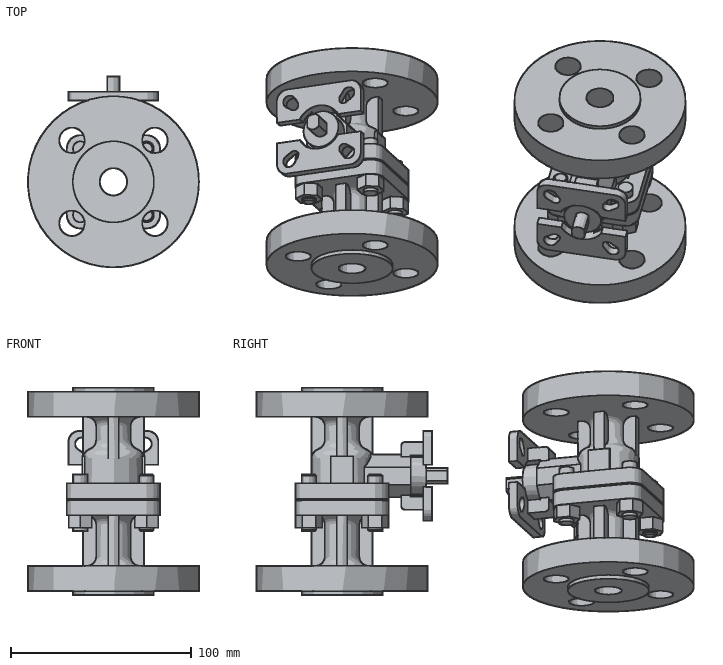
import cadquery as cq
import math


face_to_face = 115.0
bore_diameter = 15.0
flange_diameter = 95.0
flange_thickness = 14.0
raised_face_diameter = 45.0
raised_face_height = 2.2
flange_hole_diameter = 14.0
flange_hole_circle = 65.0
flange_hole_count = 4
bolt_angle = 45.0
lower_flange_top = raised_face_height + flange_thickness
upper_flange_bottom = face_to_face - lower_flange_top

joint_plate_side = 51.8
joint_bolt_circle = 52.0
joint_bolt_offset = joint_bolt_circle / 2 * math.sin(math.radians(bolt_angle))
joint_plate_corner_radius = joint_plate_side / 2 - joint_bolt_offset
lower_plate_bottom = 44.2
lower_plate_thickness = 8.3
joint_gap = 0.9
upper_plate_thickness = 8.7
lower_plate_top = lower_plate_bottom + lower_plate_thickness
upper_plate_bottom = lower_plate_top + joint_gap
upper_plate_top = upper_plate_bottom + upper_plate_thickness

bolt_diameter = 8.1
bolt_bottom = 35.4
bolt_top = 66.9
bolt_chamfer = 0.85
nut_across_flats = 13.0
nut_sides = 6
nut_height = 7.0

neck_radius = 10.1
neck_flare_radius = 5.0
body_radius = 17.1
shoulder_bottom = 78.9
shoulder_half_angle = 60.0
shoulder_fillet_radius = 5.0
shoulder_rise = (body_radius - neck_radius) / math.tan(math.radians(shoulder_half_angle))
rib_thickness = 6.0
pad_width = 12.3
pad_reach = 17.4
pad_top = 77.0

stem_height = 66.1
housing_across_flats = 23.8
housing_end = 38.0
housing_sides = 8
collar_diameter = 20.9
collar_end = 46.7
stem_diameter = 9.0
stem_across_flats = 7.0
stem_end = 58.5

bracket_side = 50.0
bracket_corner_radius = 6.2
bracket_thickness = 5.0
bracket_outer_face = 50.0
bracket_gap = 12.2
bracket_opening_diameter = 25.7
mount_outer_circle = 50.0
mount_outer_hole = 7.0
mount_inner_circle = 42.0
mount_inner_hole = 5.5
tab_width = 12.2
tab_start = 32.8
tab_corner_radius = 2.0
tab_half_height = bracket_side / 2 - bracket_corner_radius
bracket_inner_face = bracket_outer_face - bracket_thickness


def disc(diameter, bottom, top):
    """Upright cylinder on the bore axis."""
    return cq.Workplane("XY", origin=(0, 0, bottom)).circle(diameter / 2).extrude(top - bottom)


def stem_plane(start):
    """Workplane across the stem axis; local x is +X, local y is +Z and extrusion runs along +Y."""
    return cq.Workplane(cq.Plane(origin=(0, start, stem_height), xDir=(1, 0, 0), normal=(0, 1, 0)))


def flange(face_level, inner_level):
    """End flange with a raised sealing face at face_level and its body side at inner_level."""
    bottom, top = sorted((face_level, inner_level))
    outward = 1 if face_level > inner_level else -1
    plate_level = face_level - outward * raised_face_height
    plate_bottom, plate_top = sorted((plate_level, inner_level))
    holes = (
        cq.Workplane("XY", origin=(0, 0, plate_bottom))
        .polarArray(flange_hole_circle / 2, bolt_angle, 360, flange_hole_count)
        .circle(flange_hole_diameter / 2)
        .extrude(plate_top - plate_bottom)
    )
    return (
        disc(raised_face_diameter, bottom, top)
        .union(disc(flange_diameter, plate_bottom, plate_top))
        .cut(holes)
    )


def neck_flare(level, direction):
    """Concave fillet ring that joins the neck to a flat face at level; direction is away from it."""
    end_level = level + direction * neck_flare_radius
    flare_edge = neck_radius + neck_flare_radius
    arc_inset = neck_flare_radius * (1 - math.sin(math.radians(45)))
    return (
        cq.Workplane("XZ")
        .moveTo(0, level)
        .lineTo(flare_edge, level)
        .threePointArc((neck_radius + arc_inset, level + direction * arc_inset), (neck_radius, end_level))
        .lineTo(0, end_level)
        .close()
        .revolve(360, (0, 0, 0), (0, 1, 0))
    )


def joint_plate(bottom, top):
    return (
        cq.Workplane("XY", origin=(0, 0, bottom))
        .rect(joint_plate_side, joint_plate_side)
        .extrude(top - bottom)
        .edges("|Z")
        .fillet(joint_plate_corner_radius)
    )


def ribs(bottom, top):
    """Cross-shaped stiffening ribs trimmed to the body radius."""
    along_x = cq.Workplane("XY", origin=(0, 0, bottom)).rect(flange_diameter, rib_thickness)
    along_y = cq.Workplane("XY", origin=(0, 0, bottom)).rect(rib_thickness, flange_diameter)
    cross = along_x.extrude(top - bottom).union(along_y.extrude(top - bottom))
    return cross.intersect(disc(2 * body_radius, bottom, top))


def lower_body():
    return (
        disc(2 * neck_radius, lower_flange_top, lower_plate_bottom)
        .union(neck_flare(lower_flange_top, 1))
        .union(neck_flare(lower_plate_bottom, -1))
        .union(ribs(lower_flange_top, lower_plate_bottom))
    )


def upper_body():
    """Ball chamber with a rounded conical shoulder up to the neck, and two flat side pads."""
    shell = (
        cq.Workplane("XZ")
        .moveTo(0, lower_plate_top)
        .lineTo(body_radius, lower_plate_top)
        .lineTo(body_radius, shoulder_bottom)
        .lineTo(neck_radius, shoulder_bottom + shoulder_rise)
        .lineTo(neck_radius, upper_flange_bottom)
        .lineTo(0, upper_flange_bottom)
        .close()
        .revolve(360, (0, 0, 0), (0, 1, 0))
        .faces("%CONE")
        .edges("%CIRCLE")
        .fillet(shoulder_fillet_radius)
    )
    pads = (
        cq.Workplane("XY", origin=(0, 0, upper_plate_top))
        .rect(2 * pad_reach, pad_width)
        .extrude(pad_top - upper_plate_top)
    )
    return (
        shell.union(neck_flare(upper_flange_bottom, -1))
        .union(ribs(upper_plate_top, upper_flange_bottom))
        .union(pads)
    )


def joint_bolts():
    """Four bolts with hexagon nuts below; the pair on the +X side has chamfered ends."""
    nut_across_corners = nut_across_flats / math.cos(math.pi / nut_sides)
    bolts = cq.Workplane("XY")
    for x_side in (-1, 1):
        shank = disc(bolt_diameter, bolt_bottom, bolt_top)
        if x_side > 0:
            shank = shank.faces("<Z or >Z").edges().chamfer(bolt_chamfer)
        nut = (
            cq.Workplane("XY", origin=(0, 0, lower_plate_bottom - nut_height))
            .transformed(rotate=(0, 0, 90))
            .polygon(nut_sides, nut_across_corners)
            .extrude(nut_height)
        )
        bolt = shank.union(nut)
        for y_side in (-1, 1):
            place = (x_side * joint_bolt_offset, y_side * joint_bolt_offset, 0)
            bolts = bolts.union(bolt.translate(place))
    return bolts


def stem_housing():
    """Octagonal housing, round collar and the stem with two flats facing +X and -X."""
    half_side_angle = 180 / housing_sides
    across_corners = housing_across_flats / math.cos(math.radians(half_side_angle))
    octagon = (
        stem_plane(0)
        .transformed(rotate=(0, 0, half_side_angle))
        .polygon(housing_sides, across_corners)
        .extrude(housing_end)
    )
    collar = stem_plane(housing_end).circle(collar_diameter / 2).extrude(collar_end - housing_end)
    stem_length = stem_end - collar_end
    flats = stem_plane(collar_end).rect(stem_across_flats, 2 * stem_diameter).extrude(stem_length)
    stem = stem_plane(collar_end).circle(stem_diameter / 2).extrude(stem_length).intersect(flats)
    return octagon.union(collar).union(stem)


def mounting_slot(x_side, z_side):
    """Tapered diagonal slot that blends the holes of the two mounting circles."""
    outer_distance = mount_outer_circle / 2
    inner_distance = mount_inner_circle / 2
    outer_radius = mount_outer_hole / 2
    inner_radius = mount_inner_hole / 2
    diagonal = math.degrees(math.atan2(z_side, x_side))
    taper = math.asin((outer_radius - inner_radius) / (outer_distance - inner_distance))
    along = math.sin(taper)
    across = math.cos(taper)
    return (
        stem_plane(bracket_inner_face)
        .transformed(rotate=(0, 0, diagonal))
        .moveTo(inner_distance - inner_radius * along, -inner_radius * across)
        .lineTo(outer_distance - outer_radius * along, -outer_radius * across)
        .threePointArc(
            (outer_distance + outer_radius, 0),
            (outer_distance - outer_radius * along, outer_radius * across),
        )
        .lineTo(inner_distance - inner_radius * along, inner_radius * across)
        .threePointArc(
            (inner_distance - inner_radius, 0),
            (inner_distance - inner_radius * along, -inner_radius * across),
        )
        .close()
        .extrude(bracket_thickness)
    )


def bracket():
    """Split mounting plate carried on two tabs that stand on the octagonal housing."""
    plate = (
        stem_plane(bracket_inner_face)
        .rect(bracket_side, bracket_side)
        .extrude(bracket_thickness)
        .edges("|Y")
        .fillet(bracket_corner_radius)
    )
    gap = stem_plane(bracket_inner_face).rect(2 * bracket_side, bracket_gap).extrude(bracket_thickness)
    tabs = (
        stem_plane(tab_start)
        .rect(tab_width, 2 * tab_half_height)
        .extrude(bracket_inner_face - tab_start)
        .faces("<Y")
        .edges("|X")
        .fillet(tab_corner_radius)
    )
    opening = (
        stem_plane(housing_end)
        .circle(bracket_opening_diameter / 2)
        .extrude(bracket_outer_face - housing_end)
    )
    body = plate.cut(gap).union(tabs).cut(opening)
    for x_side in (-1, 1):
        for z_side in (-1, 1):
            body = body.cut(mounting_slot(x_side, z_side))
    return body


lower_half = (
    flange(0, lower_flange_top)
    .union(lower_body())
    .union(joint_plate(lower_plate_bottom, lower_plate_top))
)
upper_half = (
    flange(face_to_face, upper_flange_bottom)
    .union(upper_body())
    .union(joint_plate(upper_plate_bottom, upper_plate_top))
    .union(stem_housing())
    .union(bracket())
)
bore = disc(bore_diameter, 0, face_to_face)
result = lower_half.union(upper_half).union(joint_bolts()).cut(bore)